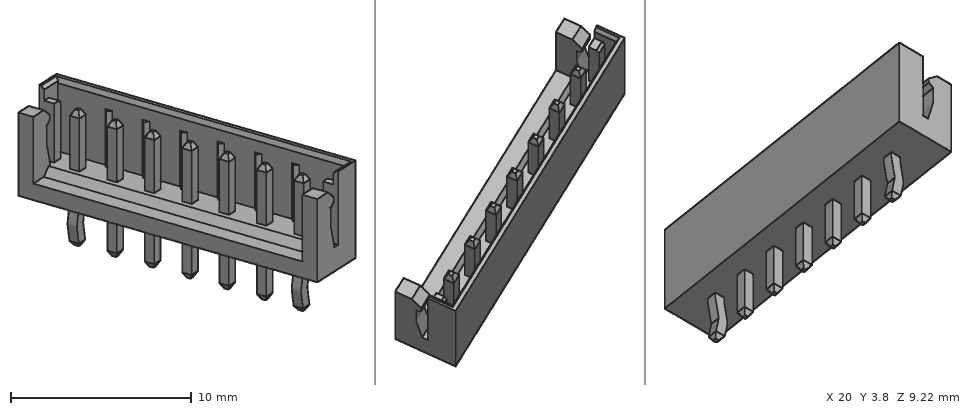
import cadquery as cq
import math


length = 20.0
depth = 3.8
height = 6.0
floor_z = 1.5
back_wall = 0.4
side_wall = 0.35
side_wall_front_y = 2.05
back_wall_y = depth - back_wall

side_bevel = 0.2
back_bevel_width = 0.15
back_bevel_height = 0.32

arm_width = 1.0
arm_height = 5.12
arm_neck_y = 1.32
arm_neck_bottom_z = 2.95
arm_neck_top_z = 4.05
arm_foot_y = 1.7
hook_nose_y = 1.65
hook_bottom_z = 4.28
hook_top_z = 4.6
ramp_front_y = 1.05
post_depth = 0.65
post_chamfer = 0.18
sill_drop = 0.48

rib_projection = 0.25
rib_half_width = 0.25
rib_top_z = 4.95

pin_count = 7
pitch = 2.5
pin_size = 0.65
pin_y = 2.2
pin_top_z = arm_height
pin_bottom_z = -3.22
tip_length = 0.35
tip_size = 0.25

kink_start_z = -0.3
kink_mid_z = -1.78
kink_offset = 0.25
bend_half_height = 0.12
bend_rise = 0.01
bend_flattening = 0.012
kink_end_offset = 0.05
kinked_tip_length = 0.32

inner_x = length / 2 - side_wall
arm_inner_x = length / 2 - arm_width
pin_xs = [(i - (pin_count - 1) / 2) * pitch for i in range(pin_count)]
rib_xs = [x + pitch / 2 for x in pin_xs[:-1]]


def box(x_range, y_range, z_range):
    """Box given by its limits along each axis."""
    return cq.Workplane("XY").box(
        x_range[1] - x_range[0],
        y_range[1] - y_range[0],
        z_range[1] - z_range[0],
        centered=False,
    ).translate((x_range[0], y_range[0], z_range[0]))


def along_x(points, width):
    """Prism of a (y, z) outline, centred on x = 0."""
    return cq.Workplane("YZ").polyline(points).close().extrude(width / 2, both=True)


def frustum(start, start_size, end, end_size):
    """Tapered square bar between two (y, z) centres, with horizontal end faces."""
    return (
        cq.Workplane("XY", origin=(0, start[0], start[1]))
        .rect(start_size, start_size)
        .workplane(offset=end[1] - start[1])
        .center(0, end[0] - start[0])
        .rect(end_size, end_size)
        .loft(ruled=True)
    )


def latch_gap():
    """Space between the latch arms and the shroud, which also trims the arm tops."""
    return along_x(
        [
            (side_wall_front_y, height),
            (side_wall_front_y, floor_z),
            (arm_foot_y, floor_z),
            (arm_neck_y, arm_neck_bottom_z),
            (arm_neck_y, arm_neck_top_z),
            (hook_nose_y, hook_bottom_z),
            (hook_nose_y, hook_top_z),
            (ramp_front_y, arm_height),
            (0, arm_height),
            (0, height),
        ],
        length,
    )


def front_window():
    """Opening between the latch arms, down to the sloped sill."""
    sill_z = floor_z - sill_drop
    return along_x(
        [
            (0, height),
            (0, sill_z),
            (ramp_front_y, sill_z),
            (ramp_front_y + sill_drop, floor_z),
            (side_wall_front_y, floor_z),
            (side_wall_front_y, height),
        ],
        2 * arm_inner_x,
    )


def lead_in():
    """Flared mouth of the cavity, open at the front, where the side and back bevels meet."""
    bottom_z = height - back_bevel_height
    between_sides = (
        cq.Workplane("XZ")
        .polyline(
            [
                (-inner_x, bottom_z),
                (inner_x, bottom_z),
                (inner_x, height - side_bevel),
                (inner_x + side_bevel, height),
                (-inner_x - side_bevel, height),
                (-inner_x, height - side_bevel),
            ]
        )
        .close()
        .extrude(-depth)
    )
    before_back = along_x(
        [
            (0, bottom_z),
            (back_wall_y, bottom_z),
            (back_wall_y + back_bevel_width, height),
            (0, height),
        ],
        length,
    )
    return between_sides.intersect(before_back)


def posts():
    """Pair of posts inside the side walls, bevelled at the top of their back faces."""
    back_y = side_wall_front_y + post_depth
    outline = [
        (side_wall_front_y, floor_z),
        (back_y, floor_z),
        (back_y, arm_height - post_chamfer),
        (back_y - post_chamfer, arm_height),
        (side_wall_front_y, arm_height),
    ]
    whole = along_x(outline, 2 * inner_x)
    middle = along_x(outline, 2 * arm_inner_x)
    return whole.cut(middle)


def rib(x):
    """Triangular rib standing on the floor against the back wall."""
    return (
        cq.Workplane("XY", origin=(x, back_wall_y, floor_z))
        .polyline([(-rib_half_width, 0), (0, -rib_projection), (rib_half_width, 0)])
        .close()
        .extrude(rib_top_z - floor_z)
    )


def straight_bar(end_z):
    """Square bar from the underside of the housing up or down to a pointed end."""
    shoulder_z = end_z - math.copysign(tip_length, end_z)
    shaft = frustum((pin_y, 0), pin_size, (pin_y, shoulder_z), pin_size)
    return shaft.union(frustum((pin_y, shoulder_z), pin_size, (pin_y, end_z), tip_size))


def kinked_leg():
    """Solder leg of an end pin, bowed to the front with a rounded outer bend."""
    front_y = pin_y - pin_size / 2
    back_y = pin_y + pin_size / 2
    shoulder_z = pin_bottom_z + kinked_tip_length
    outer_bend_y = front_y - kink_offset + bend_flattening
    bend_end_y = outer_bend_y + bend_rise
    shaft = (
        cq.Workplane("YZ")
        .moveTo(back_y, 0)
        .lineTo(front_y, 0)
        .lineTo(front_y, kink_start_z)
        .lineTo(bend_end_y, kink_mid_z + bend_half_height)
        .threePointArc((outer_bend_y, kink_mid_z), (bend_end_y, kink_mid_z - bend_half_height))
        .lineTo(front_y - kink_end_offset, shoulder_z)
        .lineTo(back_y - kink_end_offset, shoulder_z)
        .lineTo(back_y - kink_offset, kink_mid_z)
        .lineTo(back_y, kink_start_z)
        .close()
        .extrude(pin_size / 2, both=True)
    )
    end_y = pin_y - kink_end_offset
    return shaft.union(frustum((end_y, shoulder_z), pin_size, (pin_y, pin_bottom_z), tip_size))


result = box((-length / 2, length / 2), (0, depth), (0, height))
result = result.cut(box((-inner_x, inner_x), (side_wall_front_y, back_wall_y), (floor_z, height)))
result = result.cut(latch_gap()).cut(front_window()).cut(lead_in())
result = result.union(posts())
for x in rib_xs:
    result = result.union(rib(x))

for x in pin_xs:
    is_end_pin = x in (pin_xs[0], pin_xs[-1])
    leg = kinked_leg() if is_end_pin else straight_bar(pin_bottom_z)
    result = result.union(straight_bar(pin_top_z).union(leg).translate((x, 0, 0)))